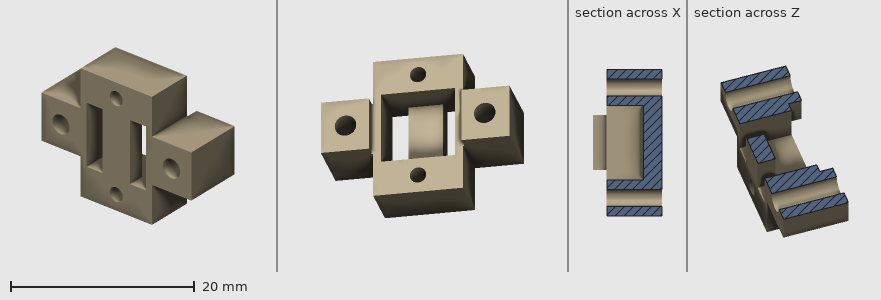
import cadquery as cq

total_width = 21.0
total_depth = 7.5
body_height = 16.0

body_width = 10.0
body_depth = 6.0
ear_height = 6.0
rear_gap_width = 10.31

body_hole_diameter = 1.8
body_hole_spacing = 12.0
ear_hole_diameter = 2.4
ear_hole_spacing = 15.5

slot_width = 2.2
slot_height = 8.0
slot_spacing = 6.07

web_thickness = 2.05
pocket_width = slot_spacing + slot_width


def front_block(width, depth, height):
    """Block centred in X and Z, with its front face on Y = 0."""
    return cq.Workplane("XY").box(width, depth, height, centered=(True, False, True))


def through_cut(profile):
    """Extrude an XZ profile backwards from the front face through the part."""
    return profile.extrude(-total_depth)


def hole_pair(points, diameter):
    return through_cut(cq.Workplane("XZ").pushPoints(points).circle(diameter / 2))


body = front_block(body_width, body_depth, body_height)
ear_bar = front_block(total_width, total_depth, ear_height)
rear_gap = front_block(rear_gap_width, total_depth - body_depth, ear_height)
rear_gap = rear_gap.translate((0, body_depth, 0))

rear_pocket = front_block(pocket_width, body_depth - web_thickness, slot_height)
rear_pocket = rear_pocket.translate((0, web_thickness, 0))

body_holes = hole_pair(
    [(0, -body_hole_spacing / 2), (0, body_hole_spacing / 2)], body_hole_diameter
)
ear_holes = hole_pair(
    [(-ear_hole_spacing / 2, 0), (ear_hole_spacing / 2, 0)], ear_hole_diameter
)
slots = through_cut(
    cq.Workplane("XZ")
    .pushPoints([(-slot_spacing / 2, 0), (slot_spacing / 2, 0)])
    .rect(slot_width, slot_height)
)

result = body.union(ear_bar)
for cutter in (rear_gap, rear_pocket, body_holes, ear_holes, slots):
    result = result.cut(cutter)